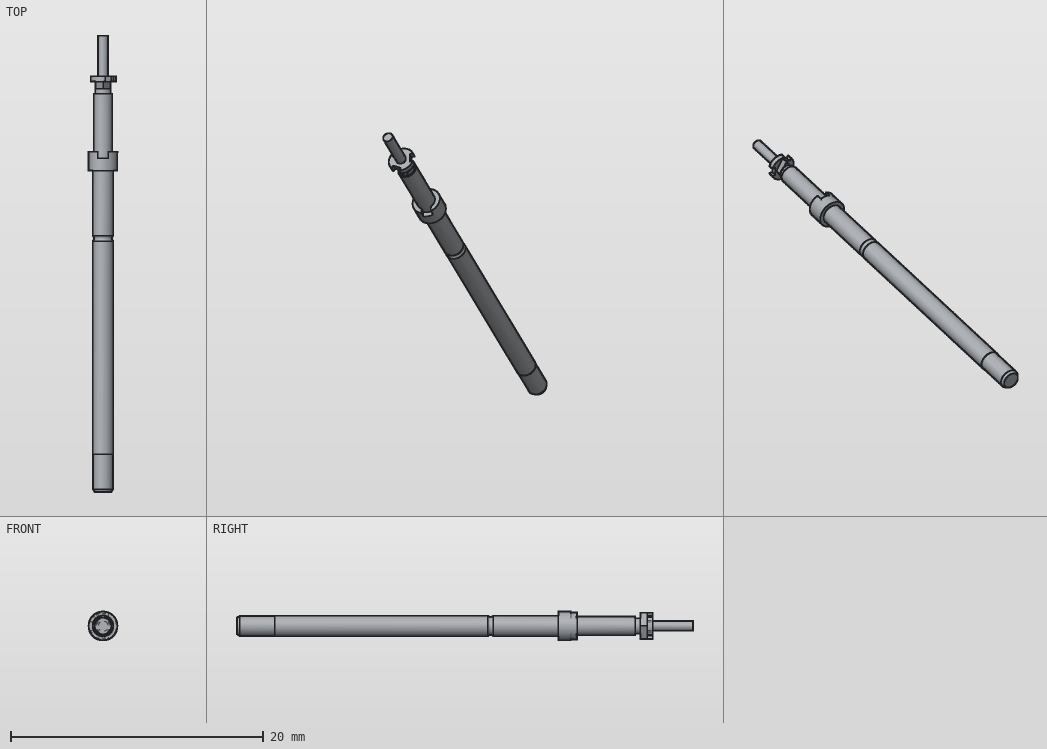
import cadquery as cq
import math

total_length = 36.2
tip_end = 10.7
tail_end = tip_end - total_length

tip_diameter = 0.8
disc_diameter = 2.1
neck_diameter = 1.25
barrel_diameter = 1.5
collar_diameter = 2.3
body_diameter = 1.65
cap_diameter = 1.6
cap_end_diameter = 1.32

collar_length = 1.5
barrel_length = 4.6
neck_length = 0.4
lug_length = 0.55
disc_length = 0.45
cap_length = 3.0
cap_chamfer_length = 0.25

groove_distance = 5.15
groove_width = 0.45
groove_depth = 0.1

collar_slot_width = 0.8
collar_slot_depth = 0.5

notch_count = 3
notch_width = 0.7
notch_floor_radius = 0.72

lug_face_angle = 30
lug_height = disc_diameter
lug_width = lug_height * math.tan(math.radians(lug_face_angle))

full_turn = 360

collar_top = collar_length
barrel_top = collar_top + barrel_length
neck_top = barrel_top + neck_length
lug_top = neck_top + lug_length
disc_top = lug_top + disc_length
cap_start = tail_end + cap_length


def section_plane(y_position):
    """Plane across the axis, facing +Y, with its vertical direction along Z."""
    return cq.Plane(origin=(0, y_position, 0), xDir=(-1, 0, 0), normal=(0, 1, 0))


def cylinder(diameter, y_start, y_end):
    return cq.Workplane(section_plane(y_start)).circle(diameter / 2).extrude(y_end - y_start)


def make_body():
    """Long body with a shallow round-bottomed groove."""
    radius = body_diameter / 2
    groove_start = -groove_distance
    groove_end = groove_start - groove_width
    groove_middle = (groove_start + groove_end) / 2
    return (
        cq.Workplane("XY")
        .moveTo(0, 0)
        .lineTo(radius, 0)
        .lineTo(radius, groove_start)
        .threePointArc((radius - groove_depth, groove_middle), (radius, groove_end))
        .lineTo(radius, cap_start)
        .lineTo(0, cap_start)
        .close()
        .revolve(full_turn, (0, 0, 0), (0, 1, 0))
    )


def make_cap():
    """Slightly smaller end cap with a chamfered end."""
    return (
        cq.Workplane("XY")
        .moveTo(0, cap_start)
        .lineTo(cap_diameter / 2, cap_start)
        .lineTo(cap_diameter / 2, tail_end + cap_chamfer_length)
        .lineTo(cap_end_diameter / 2, tail_end)
        .lineTo(0, tail_end)
        .close()
        .revolve(full_turn, (0, 0, 0), (0, 1, 0))
    )


def make_collar():
    """Collar with a slot across the top and the bottom of its tip-side end."""
    slots = (
        cq.Workplane(section_plane(collar_top))
        .rect(collar_slot_width, collar_diameter)
        .extrude(-collar_slot_depth)
    )
    return cylinder(collar_diameter, 0, collar_top).cut(slots)


def make_lug():
    """Rhombic lug, tall along Z, ending at the disc."""
    half_width = lug_width / 2
    half_height = lug_height / 2
    return (
        cq.Workplane(section_plane(neck_top))
        .polyline([(half_width, 0), (0, half_height), (-half_width, 0), (0, -half_height)])
        .close()
        .extrude(lug_length)
    )


def make_disc():
    """Disc with evenly spaced flat-floored notches, the first one facing -X."""
    disc = cylinder(disc_diameter, lug_top, disc_top)
    notch_height = disc_diameter / 2 - notch_floor_radius
    for index in range(notch_count):
        notch = (
            cq.Workplane(section_plane(lug_top))
            .center(notch_floor_radius + notch_height / 2, 0)
            .rect(notch_height, notch_width)
            .extrude(disc_length)
            .rotate((0, 0, 0), (0, 1, 0), index * full_turn / notch_count)
        )
        disc = disc.cut(notch)
    return disc


result = (
    make_body()
    .union(make_cap())
    .union(make_collar())
    .union(cylinder(barrel_diameter, 0, barrel_top))
    .union(cylinder(neck_diameter, barrel_top, neck_top))
    .union(make_lug())
    .union(make_disc())
    .union(cylinder(tip_diameter, disc_top, tip_end))
)